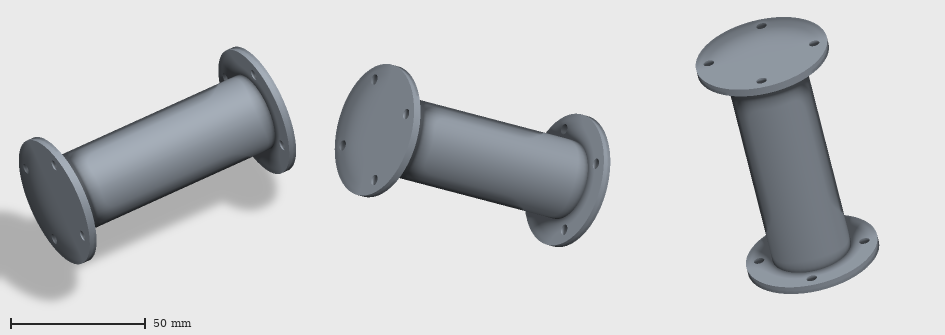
import cadquery as cq

length = 90
flange_diameter = 50.0
flange_thickness = 3.0
barrel_diameter = 30.0
hole_diameter = 4.0
hole_circle_diameter = 40.0
hole_count = 4


def make_flange(start_y):
    """Drilled disc that spans one flange thickness in +Y from start_y."""
    base = cq.Workplane("XZ", origin=(0, start_y, 0))
    disc = base.circle(flange_diameter / 2).extrude(-flange_thickness)
    holes = (
        base.polarArray(hole_circle_diameter / 2, 0, 360, hole_count)
        .circle(hole_diameter / 2)
        .extrude(-flange_thickness)
    )
    return disc.cut(holes)


barrel_length = length - 2 * flange_thickness
barrel = cq.Workplane("XZ").circle(barrel_diameter / 2).extrude(barrel_length / 2, both=True)

front_flange = make_flange(-length / 2)
back_flange = make_flange(length / 2 - flange_thickness)

result = barrel.union(front_flange).union(back_flange)